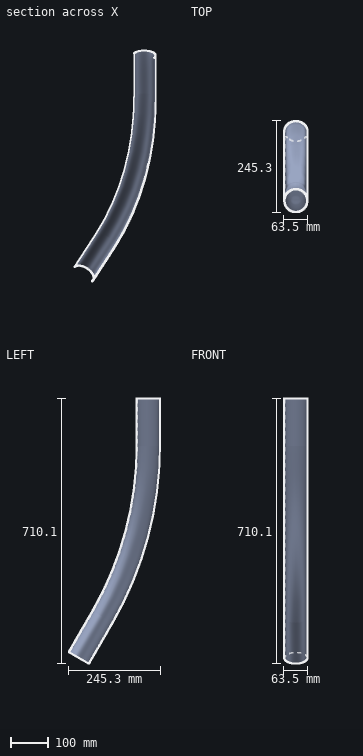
import cadquery as cq
import math

outer_diameter = 63.5
inner_diameter = 59.28
straight_length = 127.0
bend_radius = 914.4
bend_angle = 30.0


def point_on_bend(angle):
    """Centreline point (Y, Z) after turning by angle degrees from the top of the bend."""
    turn = math.radians(angle)
    return (bend_radius * (1 - math.cos(turn)), -bend_radius * math.sin(turn))


def tube_centreline():
    """Path in the YZ plane, from the vertical top end down to the tilted lower end."""
    bend_end_y, bend_end_z = point_on_bend(bend_angle)
    tilt = math.radians(bend_angle)
    lower_end = (
        bend_end_y + straight_length * math.sin(tilt),
        bend_end_z - straight_length * math.cos(tilt),
    )
    return (
        cq.Workplane("YZ")
        .moveTo(0, straight_length)
        .lineTo(0, 0)
        .threePointArc(point_on_bend(bend_angle / 2), (bend_end_y, bend_end_z))
        .lineTo(*lower_end)
    )


def tube():
    """Ring-shaped section at the top end, swept along the centreline."""
    section = (
        cq.Workplane("XY")
        .workplane(offset=straight_length)
        .circle(outer_diameter / 2)
        .circle(inner_diameter / 2)
    )
    return section.sweep(tube_centreline())


result = tube()